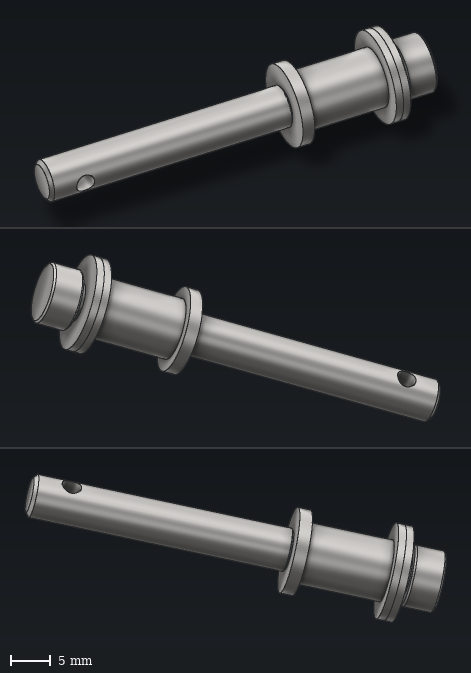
import cadquery as cq

TOTAL_LENGTH = 53.35
HEAD_FACE_Y = TOTAL_LENGTH / 2
TIP_Y = HEAD_FACE_Y - TOTAL_LENGTH

HEAD_DIAMETER = 8.0
HEAD_LENGTH = 4.1
HEAD_CHAMFER = 0.25
NECK_DIAMETER = 5.0
SHAFT_DIAMETER = 5.6
SHAFT_START = 19.8
TIP_CHAMFER_LENGTH = 0.5
TIP_CHAMFER_DEPTH = 0.55
CROSS_HOLE_DIAMETER = 2.5
CROSS_HOLE_TO_TIP = 4.8

WASHER_DIAMETER = 12.45
WASHER_THICKNESS = 1.0
WASHER_COUNT = 2
HEAD_TO_WASHER_GAP = 0.75

SLEEVE_DIAMETER = 8.0
SLEEVE_LENGTH = 11.05
COLLAR_DIAMETER = 11.1
COLLAR_THICKNESS = 1.65

HEAD_UNDERSIDE_Y = HEAD_FACE_Y - HEAD_LENGTH
SHAFT_START_Y = HEAD_FACE_Y - SHAFT_START
WASHER_STACK_Y = HEAD_UNDERSIDE_Y - HEAD_TO_WASHER_GAP
SLEEVE_START_Y = WASHER_STACK_Y - WASHER_COUNT * WASHER_THICKNESS
COLLAR_START_Y = SLEEVE_START_Y - SLEEVE_LENGTH


def cylinder(diameter, start_y, length):
    """Solid cylinder on the Y axis, running from start_y towards the tip."""
    return cq.Workplane("XZ", origin=(0, start_y, 0)).circle(diameter / 2).extrude(length)


def bored(body):
    """Cut a bore along the axis that fits the neck of the pin."""
    return body.cut(cylinder(NECK_DIAMETER, HEAD_FACE_Y, TOTAL_LENGTH))


def make_pin():
    """Headed pin with a slim neck, a chamfered tip and a cross hole along X."""
    head_radius = HEAD_DIAMETER / 2
    neck_radius = NECK_DIAMETER / 2
    shaft_radius = SHAFT_DIAMETER / 2
    half_profile = (
        cq.Workplane("XY")
        .moveTo(0, HEAD_FACE_Y)
        .lineTo(head_radius - HEAD_CHAMFER, HEAD_FACE_Y)
        .lineTo(head_radius, HEAD_FACE_Y - HEAD_CHAMFER)
        .lineTo(head_radius, HEAD_UNDERSIDE_Y + HEAD_CHAMFER)
        .lineTo(head_radius - HEAD_CHAMFER, HEAD_UNDERSIDE_Y)
        .lineTo(neck_radius, HEAD_UNDERSIDE_Y)
        .lineTo(neck_radius, SHAFT_START_Y)
        .lineTo(shaft_radius, SHAFT_START_Y)
        .lineTo(shaft_radius, TIP_Y + TIP_CHAMFER_LENGTH)
        .lineTo(shaft_radius - TIP_CHAMFER_DEPTH, TIP_Y)
        .lineTo(0, TIP_Y)
        .close()
    )
    pin = half_profile.revolve(360, (0, 0, 0), (0, 1, 0))
    cross_hole = (
        cq.Workplane("YZ", origin=(0, TIP_Y + CROSS_HOLE_TO_TIP, 0))
        .circle(CROSS_HOLE_DIAMETER / 2)
        .extrude(SHAFT_DIAMETER, both=True)
    )
    return pin.cut(cross_hole)


def make_washer(index):
    """Flat washer at the given place in the stack, counted from the head."""
    start_y = WASHER_STACK_Y - index * WASHER_THICKNESS
    return bored(cylinder(WASHER_DIAMETER, start_y, WASHER_THICKNESS))


def make_sleeve():
    """Sleeve with a wider collar at its end nearest the tip."""
    barrel = cylinder(SLEEVE_DIAMETER, SLEEVE_START_Y, SLEEVE_LENGTH)
    collar = cylinder(COLLAR_DIAMETER, COLLAR_START_Y, COLLAR_THICKNESS)
    return bored(barrel.union(collar))


pin = make_pin()
washers = [make_washer(index) for index in range(WASHER_COUNT)]
sleeve = make_sleeve()

result = cq.Compound.makeCompound([
    pin.val(),
    *[washer.val() for washer in washers],
    sleeve.val(),
])